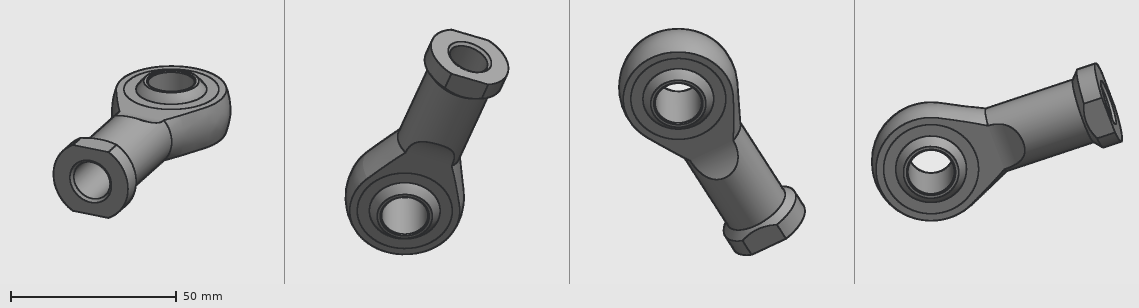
import cadquery as cq
import math


OVERALL_LENGTH = 74.95

HEAD_RADIUS = 18.0
HEAD_THICKNESS = 13.5
NECK_END_Y = -20.9
RELIEF_RADIUS = 13.05

END_Y = HEAD_RADIUS - OVERALL_LENGTH
SHANK_RADIUS = 10.05
COLLAR_RADIUS = 12.5
COLLAR_LENGTH = 5.8
COLLAR_TAPER = 2.25
COLLAR_FLATS = 22.0

HOLE_RADIUS = 6.1
HOLE_DEPTH = 27.0
HOLE_CHAMFER = 0.9
DRILL_HALF_ANGLE = 59.0

RACE_RADIUS = 14.4
BALL_RADIUS = 12.7
BALL_WIDTH = 19.0
BORE_RADIUS = 7.05
BORE_CHAMFER = 0.4

HALF_HEAD = HEAD_THICKNESS / 2
CUT_SIZE = 4 * HEAD_RADIUS


def neck_tangent_point():
    """Point (x, y) on the head circle where the straight side of the neck is tangent."""
    distance = math.hypot(SHANK_RADIUS, NECK_END_Y)
    direction = math.atan2(NECK_END_Y, SHANK_RADIUS)
    angle = direction + math.acos(HEAD_RADIUS / distance)
    return HEAD_RADIUS * math.cos(angle), HEAD_RADIUS * math.sin(angle)


def make_blank():
    """Head, neck, shank and collar turned about the Y axis."""
    tangent_x, tangent_y = neck_tangent_point()
    collar_top = END_Y + COLLAR_LENGTH
    return (
        cq.Workplane("XY")
        .moveTo(0, HEAD_RADIUS)
        .threePointArc((HEAD_RADIUS, 0), (tangent_x, tangent_y))
        .lineTo(SHANK_RADIUS, NECK_END_Y)
        .lineTo(SHANK_RADIUS, collar_top + COLLAR_TAPER)
        .lineTo(COLLAR_RADIUS, collar_top)
        .lineTo(COLLAR_RADIUS, END_Y)
        .lineTo(0, END_Y)
        .close()
        .revolve(360, (0, 0), (0, 1))
    )


def make_upper_relief():
    """Material removed above the head, ending in a concave scoop on the shank."""
    rise = SHANK_RADIUS - HALF_HEAD
    run = math.sqrt(RELIEF_RADIUS**2 - (RELIEF_RADIUS - rise)**2)
    half_angle = math.asin(run / RELIEF_RADIUS) / 2
    arc_middle = (
        NECK_END_Y - RELIEF_RADIUS * math.sin(half_angle),
        HALF_HEAD + RELIEF_RADIUS * (1 - math.cos(half_angle)),
    )
    scoop_end_y = NECK_END_Y - run
    return (
        cq.Workplane("YZ")
        .moveTo(CUT_SIZE, HALF_HEAD)
        .lineTo(NECK_END_Y, HALF_HEAD)
        .threePointArc(arc_middle, (scoop_end_y, SHANK_RADIUS))
        .lineTo(scoop_end_y, CUT_SIZE)
        .lineTo(CUT_SIZE, CUT_SIZE)
        .close()
        .extrude(CUT_SIZE / 2, both=True)
    )


def make_wrench_envelope():
    """Slab that leaves the two parallel wrench flats on the collar."""
    return cq.Workplane("XY").box(CUT_SIZE, 2 * OVERALL_LENGTH, COLLAR_FLATS)


def make_shank_hole():
    """Blind hole with a chamfered mouth and a conical bottom."""
    bottom_y = END_Y + HOLE_DEPTH
    tip_y = bottom_y + HOLE_RADIUS / math.tan(math.radians(DRILL_HALF_ANGLE))
    return (
        cq.Workplane("XY")
        .moveTo(0, END_Y)
        .lineTo(HOLE_RADIUS + HOLE_CHAMFER, END_Y)
        .lineTo(HOLE_RADIUS, END_Y + HOLE_CHAMFER)
        .lineTo(HOLE_RADIUS, bottom_y)
        .lineTo(0, tip_y)
        .close()
        .revolve(360, (0, 0), (0, 1))
    )


def make_disc(radius, thickness):
    """Cylinder along Z centred on the eye."""
    return cq.Workplane("XY").circle(radius).extrude(thickness / 2, both=True)


def make_housing():
    relief = make_upper_relief()
    return (
        make_blank()
        .cut(relief)
        .cut(relief.mirror("XY"))
        .intersect(make_wrench_envelope())
        .cut(make_shank_hole())
        .cut(make_disc(RACE_RADIUS, HEAD_THICKNESS))
    )


def make_race():
    """Outer bearing ring with a spherical seat for the ball."""
    return make_disc(RACE_RADIUS, HEAD_THICKNESS).cut(cq.Workplane("XY").sphere(BALL_RADIUS))


def make_ball():
    """Truncated ball with a chamfered through bore."""
    half_width = BALL_WIDTH / 2
    face_radius = math.sqrt(BALL_RADIUS**2 - half_width**2)
    return (
        cq.Workplane("XZ")
        .moveTo(BORE_RADIUS + BORE_CHAMFER, -half_width)
        .lineTo(face_radius, -half_width)
        .threePointArc((BALL_RADIUS, 0), (face_radius, half_width))
        .lineTo(BORE_RADIUS + BORE_CHAMFER, half_width)
        .lineTo(BORE_RADIUS, half_width - BORE_CHAMFER)
        .lineTo(BORE_RADIUS, BORE_CHAMFER - half_width)
        .close()
        .revolve(360, (0, 0), (0, 1))
    )


housing = make_housing()
race = make_race()
ball = make_ball()

result = cq.Compound.makeCompound([housing.solids().val(), race.solids().val(), ball.val()])